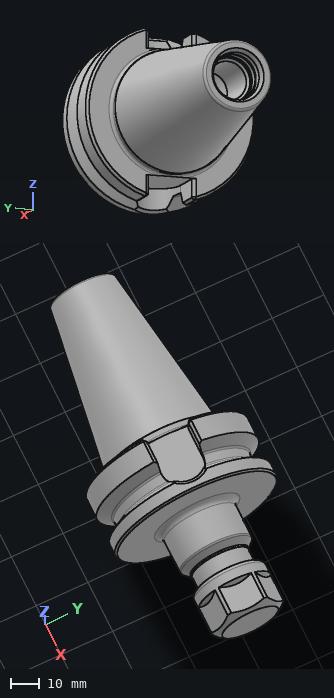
import cadquery as cq
import math


tolerance = 0.01

taper_length = 65.4
gauge_radius = 44.45 / 2
taper_ratio = 7 / 24
small_end_radius = gauge_radius - taper_length * taper_ratio / 2
small_end_fillet = 1.0
taper_stop = -1.2
relief_radius = 22.0
relief_fillet = 1.2

flange_start = 2.0
flange_end = 27.0
flange_radius = 31.5
collar_chamfer = 1.0
rim_chamfer = 0.7
groove_center = 16.6
groove_radius = 26.5
groove_half_angle = 30
groove_floor_half_width = 2.26
groove_fillet = 0.9
groove_mouth_half_width = (
    groove_floor_half_width + (flange_radius - groove_radius) * math.tan(math.radians(groove_half_angle))
)

slot_half_width = 16.1 / 2
slot_floor = 22.6
slot_end = flange_start + 21.0
slot_open_end = 0
slot_end_center = slot_end - slot_half_width
slot_chamfer = 1.2

nose_radius = 14.0
nose_base_fillet = 2.5
nose_cone_start = 42.4
shoulder_radius = 11.3
shoulder_end = 45.8
nose_cone_end = nose_cone_start + nose_radius - shoulder_radius
nose_edge_fillet = 1.0
thread_radius = 11.0

bore_mouth_radius = 9.6
bore_mouth_half_angle = 30
pilot_radius = 8.5
pilot_depth = 5.0
outer_land_radius = 8.25
outer_land_depth = 8.2
inner_land_radius = 8.0
inner_land_depth = 9.7
drill_radius = 7.0
drill_depth = 30.0
drill_tip_half_angle = 59

nut_start = 52.3
nut_end = 70.0
nut_radius = 14.0
nut_rear_fillet = 1.4
hex_start = 57.5
hex_across_flats = 25.0
nut_face_radius = 10.9
nut_nose_length = 2.2
thread_engagement = 12.0

thread_end = nut_start + thread_engagement


def revolve_about_x(profile):
    return profile.close().revolve(360, (0, 0, 0), (1, 0, 0))


def circles_at(body, x, radius):
    """Circular edges of the body that lie at the given X and radius."""

    def matches(edge):
        if edge.geomType() != "CIRCLE":
            return False
        return abs(edge.Center().x - x) < tolerance and abs(edge.radius() - radius) < tolerance

    return body.edges().filter(matches)


def holder_blank():
    """Taper, flange and nose as one turned shape."""
    blank = revolve_about_x(
        cq.Workplane("XY")
        .moveTo(-taper_length, 0)
        .lineTo(-taper_length, small_end_radius)
        .lineTo(taper_stop, gauge_radius + taper_stop * taper_ratio / 2)
        .lineTo(taper_stop, relief_radius)
        .lineTo(flange_start, relief_radius)
        .lineTo(flange_start, flange_radius)
        .lineTo(groove_center - groove_mouth_half_width, flange_radius)
        .lineTo(groove_center - groove_floor_half_width, groove_radius)
        .lineTo(groove_center + groove_floor_half_width, groove_radius)
        .lineTo(groove_center + groove_mouth_half_width, flange_radius)
        .lineTo(flange_end, flange_radius)
        .lineTo(flange_end, nose_radius)
        .lineTo(nose_cone_start, nose_radius)
        .lineTo(nose_cone_end, shoulder_radius)
        .lineTo(shoulder_end, shoulder_radius)
        .lineTo(shoulder_end, thread_radius)
        .lineTo(thread_end, thread_radius)
        .lineTo(thread_end, 0)
    )
    blank = circles_at(blank, -taper_length, small_end_radius).fillet(small_end_fillet)
    blank = circles_at(blank, flange_start, relief_radius).fillet(relief_fillet)
    blank = circles_at(blank, flange_start, flange_radius).chamfer(collar_chamfer)
    blank = circles_at(blank, flange_end, flange_radius).chamfer(rim_chamfer)
    for floor_edge in (groove_center - groove_floor_half_width, groove_center + groove_floor_half_width):
        blank = circles_at(blank, floor_edge, groove_radius).fillet(groove_fillet)
    blank = circles_at(blank, flange_end, nose_radius).fillet(nose_base_fillet)
    return circles_at(blank, nose_cone_start, nose_radius).fillet(nose_edge_fillet)


def drawbar_bore():
    """Stepped blind bore whose steps are 45 degree cones."""
    mouth_depth = (bore_mouth_radius - pilot_radius) / math.tan(math.radians(bore_mouth_half_angle))
    tip_length = drill_radius / math.tan(math.radians(drill_tip_half_angle))
    return revolve_about_x(
        cq.Workplane("XY", origin=(-taper_length, 0, 0))
        .moveTo(0, 0)
        .lineTo(0, bore_mouth_radius)
        .lineTo(mouth_depth, pilot_radius)
        .lineTo(pilot_depth, pilot_radius)
        .lineTo(pilot_depth + pilot_radius - outer_land_radius, outer_land_radius)
        .lineTo(outer_land_depth, outer_land_radius)
        .lineTo(outer_land_depth + outer_land_radius - inner_land_radius, inner_land_radius)
        .lineTo(inner_land_depth, inner_land_radius)
        .lineTo(inner_land_depth + inner_land_radius - drill_radius, drill_radius)
        .lineTo(drill_depth, drill_radius)
        .lineTo(drill_depth + tip_length, 0)
    )


def drive_slot():
    """Round-ended slot on the +Z side, open towards the taper."""
    return (
        cq.Workplane("XY", origin=(0, 0, slot_floor))
        .moveTo(slot_open_end, -slot_half_width)
        .lineTo(slot_end_center, -slot_half_width)
        .threePointArc((slot_end, 0), (slot_end_center, slot_half_width))
        .lineTo(slot_open_end, slot_half_width)
        .close()
        .extrude(flange_radius)
    )


def slot_rim_edges(body):
    """Upper slot edges on the flange: both sides ahead of the V groove and the round end behind it."""
    groove_start = groove_center - groove_mouth_half_width
    groove_end = groove_center + groove_mouth_half_width

    def on_rim(edge):
        center = edge.Center()
        above_floor = abs(center.z) > slot_floor + tolerance
        on_side = abs(abs(center.y) - slot_half_width) < tolerance and center.x < groove_start
        on_end = abs(center.y) < tolerance and groove_end < center.x < slot_end
        return above_floor and (on_side or on_end)

    return body.edges().filter(on_rim)


def make_holder():
    holder = holder_blank().cut(drawbar_bore())
    slot = drive_slot()
    for turn in (0, 180):
        holder = holder.cut(slot.rotate((0, 0, 0), (1, 0, 0), turn))
    return slot_rim_edges(holder).chamfer(slot_chamfer)


def make_nut():
    """Ring and hexagon with a threaded recess for the holder."""
    turned = revolve_about_x(
        cq.Workplane("XY")
        .moveTo(nut_start, 0)
        .lineTo(nut_start, nut_radius)
        .lineTo(nut_end - nut_nose_length, nut_radius)
        .lineTo(nut_end, nut_face_radius)
        .lineTo(nut_end, 0)
    )
    turned = circles_at(turned, nut_start, nut_radius).fillet(nut_rear_fillet)
    ring_tip = hex_start + nut_radius
    ring = revolve_about_x(
        cq.Workplane("XY")
        .moveTo(nut_start, 0)
        .lineTo(nut_start, nut_radius)
        .lineTo(hex_start, nut_radius)
        .lineTo(ring_tip, 0)
    )
    hexagon = (
        cq.Workplane("YZ", origin=(nut_start, 0, 0))
        .polygon(6, hex_across_flats / math.cos(math.pi / 6))
        .extrude(nut_end - nut_start)
    )
    recess = cq.Workplane("YZ", origin=(nut_start, 0, 0)).circle(thread_radius).extrude(thread_engagement)
    return turned.intersect(ring.union(hexagon)).cut(recess)


holder = make_holder()
nut = make_nut()
result = cq.Compound.makeCompound([holder.val(), nut.val()])